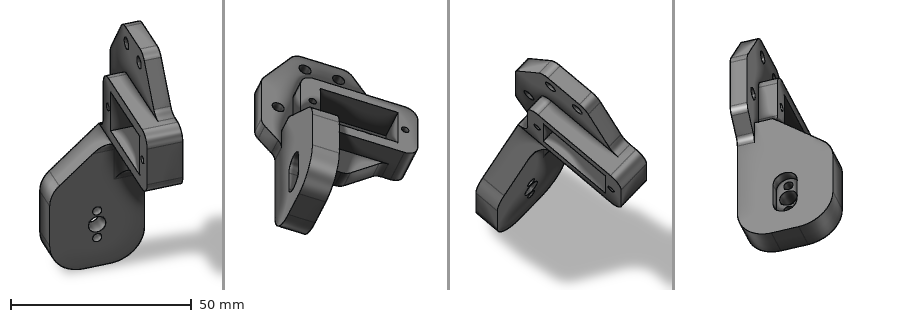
import cadquery as cq


total_width = 44.4
total_depth = 28.0
total_height = 77.0
round_radius = 4.0

plate_width = 36.0
plate_thickness = 5.0
plate_flat_width = 16.0
plate_bottom = 31.95
plate_side_bottom = 43.05
plate_slope_foot_x = 25.4
plate_slope_head_x = 36.3
plate_center_x = plate_width / 2
plate_hole_diameter = 3.55
plate_hole_spacing = 10.0
plate_hole_drop = 5.1
plate_side_hole_x = 5.0

block_left = 9.5
block_bottom = 42.0
block_top = 61.9
block_depth = 10.55
block_center_z = (block_bottom + block_top) / 2
pocket_left = 15.4
pocket_width = 23.1
pocket_height = 13.0
pocket_floor = 1.55
pocket_depth = block_depth - pocket_floor
shaft_hole_x = 31.9
shaft_hole_diameter = 10.8
screw_hole_diameter = 2.15
screw_spacing = 27.6
screw_center_x = 26.9

arm_left = 6.0
arm_thickness = 8.0
arm_right = arm_left + arm_thickness
arm_shoulder_z = 27.1
arm_shoulder_radius = 8.0
arm_foot_radius = 10.0
blend_right = arm_right + round_radius

horn_y = -total_depth / 2
horn_z = 14.0
horn_slot_length = 14.0
horn_slot_width = 7.0
horn_slot_depth = 2.8
horn_hole_diameter = 5.1
horn_screw_diameter = 2.7
horn_screw_offset = 4.5


def front_plane(depth):
    """XZ sketch plane at Y = -depth; positive extrusion runs forward, to -Y."""
    return cq.Workplane("XZ", origin=(0, -depth, 0))


def cylinders_through(points, diameter, depth):
    """Cylinders along Y from the rear face forward over the given depth."""
    return front_plane(0).pushPoints(points).circle(diameter / 2).extrude(depth)


def round_y_edge(body, x, z):
    """Round the Y-parallel edge at (x, z)."""
    reach = 0.2
    near_edge = cq.selectors.BoxSelector(
        (x - reach, -total_depth, z - reach), (x + reach, total_depth, z + reach)
    )
    return body.edges("|Y").edges(near_edge).fillet(round_radius)


def make_plate():
    flat_left = plate_center_x - plate_flat_width / 2
    flat_right = plate_center_x + plate_flat_width / 2
    outline = [
        (flat_left, total_height),
        (flat_right, total_height),
        (plate_width, block_top),
        (plate_slope_head_x, block_bottom),
        (plate_slope_foot_x, plate_bottom),
        (flat_left, plate_bottom),
        (0, plate_side_bottom),
        (0, block_top),
    ]
    plate = front_plane(0).polyline(outline).close().extrude(plate_thickness)
    for x, z in outline:
        if x < plate_width and (x, z) != (flat_left, plate_bottom):
            plate = round_y_edge(plate, x, z)
    return plate


def make_block():
    return (
        front_plane(0)
        .moveTo((block_left + total_width) / 2, block_center_z)
        .rect(total_width - block_left, block_top - block_bottom)
        .extrude(block_depth)
        .edges("|Y and (>X or >Z)")
        .fillet(round_radius)
    )


def make_block_heel():
    """Concave blend from the block's left side onto the top of the arm."""
    heel = (
        front_plane(0)
        .rect(round_radius, round_radius, centered=False)
        .extrude(block_depth)
        .cut(front_plane(0).moveTo(0, round_radius).circle(round_radius).extrude(block_depth))
        .translate((block_left - round_radius, 0, block_bottom))
    )
    outside_arm = cq.Workplane("XY").box(
        arm_left, total_depth, total_height, centered=False
    ).translate((0, -total_depth, 0))
    return heel.cut(outside_arm)


def make_arm_side(thickness):
    """Side outline of the arm, extruded to the right from the arm's left face."""
    side = (
        cq.Workplane("YZ", origin=(arm_left, 0, 0))
        .polyline([
            (0, 0),
            (-total_depth, 0),
            (-total_depth, arm_shoulder_z),
            (-block_depth, block_bottom),
            (0, block_bottom),
        ])
        .close()
        .extrude(thickness)
        .edges("|X and <Z")
        .fillet(arm_foot_radius)
    )
    shoulder = cq.selectors.NearestToPointSelector((arm_left, -total_depth, arm_shoulder_z))
    return side.edges("|X").edges(shoulder).fillet(arm_shoulder_radius)


def below_concave_arc(top):
    """Space right of the arm, under a concave arc that starts at the given height."""
    return (
        front_plane(0)
        .moveTo(arm_right, 0)
        .lineTo(blend_right, 0)
        .lineTo(blend_right, top)
        .radiusArc((arm_right, top - round_radius), -round_radius)
        .close()
        .extrude(total_depth)
    )


def make_arm():
    """Arm with concave blends onto the block's underside and the plate."""
    arm = make_arm_side(arm_thickness)
    block_blend = make_arm_side(arm_thickness + round_radius).cut(below_concave_arc(block_bottom))
    plate_blend = (
        cq.Workplane("XY")
        .moveTo(arm_right, 0)
        .lineTo(blend_right, 0)
        .lineTo(blend_right, -plate_thickness)
        .radiusArc((arm_right, -plate_thickness - round_radius), -round_radius)
        .close()
        .extrude(block_bottom)
        .cut(below_concave_arc(plate_bottom))
    )
    return arm.union(block_blend).union(plate_blend)


def blend_plate_joints(body):
    """Round the inner corners where the sloped plate edges meet the block and arm."""
    slope_run = (plate_width - plate_flat_width) / 2
    run_per_rise = slope_run / (plate_side_bottom - plate_bottom)
    arm_joint_z = plate_side_bottom - arm_left / run_per_rise
    body = round_y_edge(body, plate_width, block_top)
    body = round_y_edge(body, plate_slope_head_x, block_bottom)
    return round_y_edge(body, arm_left, arm_joint_z)


def cut_plate_holes(body):
    top_hole_z = total_height - plate_hole_drop
    centers = [
        (plate_center_x - plate_hole_spacing / 2, top_hole_z),
        (plate_center_x + plate_hole_spacing / 2, top_hole_z),
        (plate_side_hole_x, block_center_z),
    ]
    return body.cut(cylinders_through(centers, plate_hole_diameter, plate_thickness))


def cut_servo_seat(body):
    pocket = (
        front_plane(pocket_floor)
        .moveTo(pocket_left + pocket_width / 2, block_center_z)
        .rect(pocket_width, pocket_height)
        .extrude(pocket_depth)
    )
    screw_centers = [
        (screw_center_x + side * screw_spacing / 2, block_center_z) for side in (-1, 1)
    ]
    screws = (
        front_plane(pocket_floor)
        .pushPoints(screw_centers)
        .circle(screw_hole_diameter / 2)
        .extrude(pocket_depth)
    )
    shaft = cylinders_through([(shaft_hole_x, block_center_z)], shaft_hole_diameter, block_depth)
    return body.cut(pocket).cut(screws).cut(shaft)


def cut_horn_recess(body):
    face = cq.Workplane("YZ", origin=(arm_left, horn_y, horn_z))
    slot = face.slot2D(horn_slot_length, horn_slot_width, 90).extrude(horn_slot_depth)
    center_hole = face.circle(horn_hole_diameter / 2).extrude(arm_thickness)
    screw_holes = (
        face.pushPoints([(0, -horn_screw_offset), (0, horn_screw_offset)])
        .circle(horn_screw_diameter / 2)
        .extrude(arm_thickness)
    )
    return body.cut(slot).cut(center_hole).cut(screw_holes)


body = make_plate().union(make_block()).union(make_block_heel()).union(make_arm())
body = blend_plate_joints(body.clean())
body = cut_plate_holes(body)
body = cut_servo_seat(body)
result = cut_horn_recess(body)